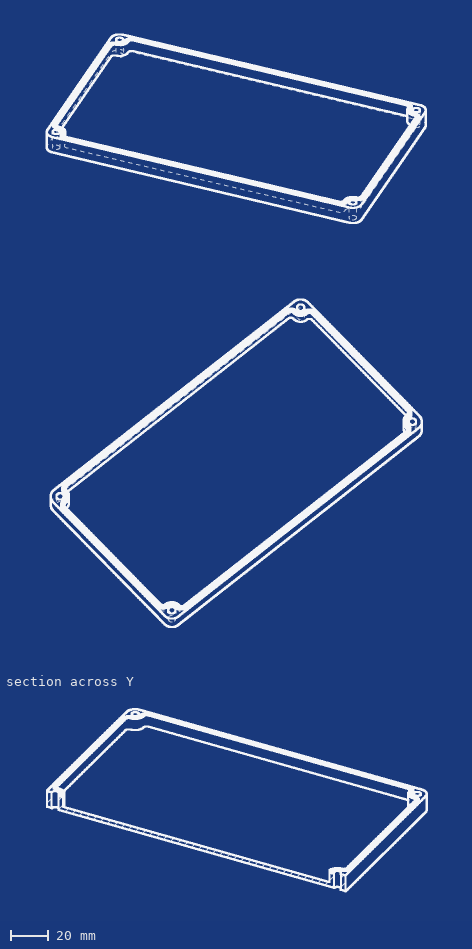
import cadquery as cq

length = 180.0
width = 100.0
height = 10.0
corner_radius = 5.0
floor_thickness = 3.0

outer_lip_width = 0.9
groove_width = 1.0
inner_lip_width = 0.9
wall_thickness = outer_lip_width + groove_width + inner_lip_width
groove_depth = 1.0

boss_radius = 4.9
boss_blend_radius = 2.0
screw_hole_diameter = 4.0

boss_spacing_x = length - 2 * corner_radius
boss_spacing_y = width - 2 * corner_radius


def cavity_outline():
    """Rectangle inside the walls, stepping round each boss with blended arcs."""
    return (
        cq.Sketch()
        .rect(length - 2 * wall_thickness, width - 2 * wall_thickness)
        .rarray(boss_spacing_x, boss_spacing_y, 2, 2)
        .circle(boss_radius, mode="s")
        .reset()
        .clean()
        .vertices()
        .fillet(boss_blend_radius)
    )


def make_block():
    """Solid block with rounded upright corners, standing on Z = 0."""
    return (
        cq.Workplane("XY")
        .rect(length, width)
        .extrude(height)
        .edges("|Z")
        .fillet(corner_radius)
    )


def make_cavity():
    """Open space above the floor."""
    return (
        cq.Workplane("XY", origin=(0, 0, floor_thickness))
        .placeSketch(cavity_outline())
        .extrude(height - floor_thickness)
    )


def make_grown_cavity(growth):
    """Top slice as deep as the groove, shaped like the cavity but grown outwards."""
    return (
        make_cavity()
        .faces(">Z")
        .wires()
        .translate((0, 0, -groove_depth))
        .toPending()
        .offset2D(growth)
        .extrude(groove_depth)
    )


def make_groove():
    """Seal groove parallel to the cavity wall, leaving a thin lip on the inside."""
    outer = make_grown_cavity(inner_lip_width + groove_width)
    inner = make_grown_cavity(inner_lip_width)
    return outer.cut(inner)


def make_screw_holes():
    """Through holes in the corner bosses."""
    return (
        cq.Workplane("XY")
        .rarray(boss_spacing_x, boss_spacing_y, 2, 2)
        .circle(screw_hole_diameter / 2)
        .extrude(height)
    )


result = make_block().cut(make_cavity()).cut(make_groove()).cut(make_screw_holes())